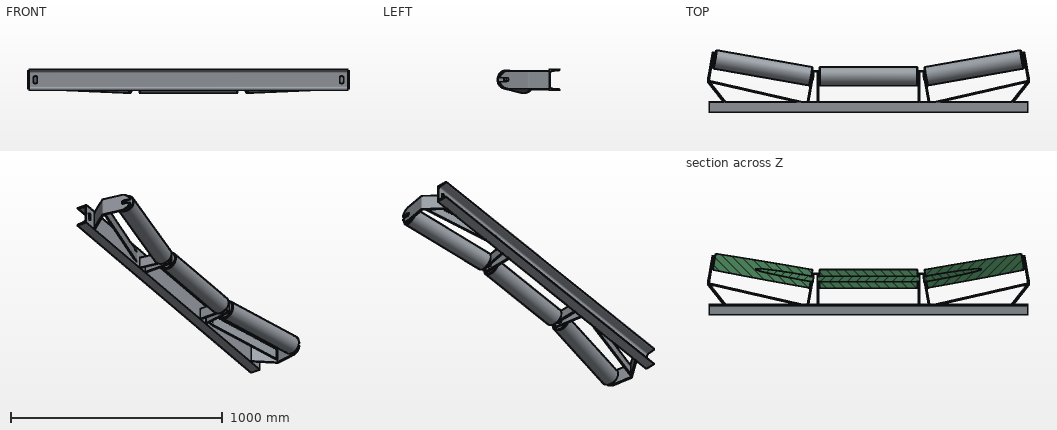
import cadquery as cq
import math

CHANNEL_LENGTH = 1505.0
CHANNEL_HEIGHT = 100.0
CHANNEL_DEPTH = 50.0
WEB_THICKNESS = 6.0
FLANGE_THICKNESS = 8.5
FLANGE_SLOPE = 0.08
ROOT_RADIUS = 8.5
TOE_RADIUS = 6.4
MOUNT_SLOT_SPACING = 1445.0
MOUNT_SLOT_WIDTH = 18.0
MOUNT_SLOT_HEIGHT = 36.0

ROLLER_DIAMETER = 90.0
ROLLER_LENGTH = 465.0
ROLLER_CHAMFER = 5.0
SHAFT_DIAMETER = 23.0
SHAFT_FLATS = 18.0
SHAFT_OVERHANG = 10.0
TROUGH_ANGLE = 10.0
TILT_ANGLE = 2.5
INNER_AXIS_Y = 170.0
INNER_AXIS_Z = -19.0
SIDE_INNER_X = 270.0
END_GAP = 3.0

INNER_WIDTH = 56.0
INNER_TIP = 26.0
UPRIGHT_THICKNESS = 8.0
LEANING_THICKNESS = 6.0
CAP_THICKNESS = 5.0

OUTER_WIDTH = 85.0
OUTER_THICKNESS = 8.0
OUTER_TIP = 32.0
OUTER_REACH = 110.0
OUTER_GAP = 6.0
BEND_RADIUS = 12.0
LEG_FOOT_X = 685.0
BRACE_WIDTH = 56.0
BRACE_THICKNESS = 6.0
BRACE_RISE = 6.0
BRACE_FOOT_X = 315.0

trough = math.radians(TROUGH_ANGLE)
AXIS = (math.cos(trough), math.sin(trough))
DOWN = (math.sin(trough), -math.cos(trough))
SIDE_INNER_END = (SIDE_INNER_X, INNER_AXIS_Y)
WEB_BACK = CHANNEL_DEPTH


def along(point, direction, distance):
    return (point[0] + direction[0] * distance, point[1] + direction[1] * distance)


def heading(start, end):
    length = math.dist(start, end)
    return ((end[0] - start[0]) / length, (end[1] - start[1]) / length)


def flat_bar(start, end, thickness, width, mid_z=0.0):
    """Bar from start to end in plan, thickness to the left of that direction, width along Z."""
    forward = heading(start, end)
    left = (-forward[1], forward[0])
    corners = [start, end, along(end, left, thickness), along(start, left, thickness)]
    return (
        cq.Workplane("XY", origin=(0, 0, mid_z - width / 2))
        .polyline(corners).close().extrude(width)
    )


def overrun(start, end, distance):
    """Point a distance past end on the line from start."""
    return along(end, heading(start, end), distance)


def trim_at_web(bracket):
    """Cut the bracket off flush with the back of the channel web."""
    front = cq.Workplane("XY").box(
        2 * CHANNEL_LENGTH, CHANNEL_DEPTH, 2 * CHANNEL_HEIGHT
    ).translate((0, WEB_BACK - CHANNEL_DEPTH / 2, 0))
    return bracket.cut(front)


def make_channel():
    half = CHANNEL_HEIGHT / 2
    taper = FLANGE_SLOPE * CHANNEL_DEPTH / 2
    toe = half - FLANGE_THICKNESS + taper
    root = half - FLANGE_THICKNESS - taper + FLANGE_SLOPE * WEB_THICKNESS
    web_front = WEB_BACK - WEB_THICKNESS
    outline = [
        (WEB_BACK, half), (0, half), (0, toe), (web_front, root),
        (web_front, -root), (0, -toe), (0, -half), (WEB_BACK, -half),
    ]
    channel = (
        cq.Workplane("YZ").workplane(offset=-CHANNEL_LENGTH / 2)
        .polyline(outline).close().extrude(CHANNEL_LENGTH)
    )
    for height, radius in ((root, ROOT_RADIUS), (toe, TOE_RADIUS)):
        y = web_front if height == root else 0
        for z in (height, -height):
            channel = channel.edges(cq.NearestToPointSelector((0, y, z))).fillet(radius)
    slot_x = MOUNT_SLOT_SPACING / 2
    slots = (
        cq.Workplane("XZ", origin=(0, WEB_BACK, 0)).pushPoints([(-slot_x, 0), (slot_x, 0)])
        .slot2D(MOUNT_SLOT_HEIGHT, MOUNT_SLOT_WIDTH, 90).extrude(WEB_THICKNESS)
    )
    return channel.cut(slots)


def make_inner_bracket():
    upright_x = ROLLER_LENGTH / 2 + END_GAP
    tip_y = INNER_AXIS_Y + INNER_TIP
    upright = flat_bar(
        (upright_x, tip_y), (upright_x, WEB_BACK), UPRIGHT_THICKNESS, INNER_WIDTH, INNER_AXIS_Z
    )
    axis_point = along(SIDE_INNER_END, AXIS, -END_GAP)
    lean_tip = along(axis_point, DOWN, -INNER_TIP)
    lean_foot = along(axis_point, DOWN, INNER_AXIS_Y)
    leaning = flat_bar(lean_foot, lean_tip, LEANING_THICKNESS, INNER_WIDTH, INNER_AXIS_Z)
    cap = flat_bar(
        (lean_tip[0], tip_y), (upright_x, tip_y), CAP_THICKNESS, INNER_WIDTH, INNER_AXIS_Z
    )
    return trim_at_web(upright.union(leaning).union(cap))


def make_outer_plate(axis_point):
    """Plate square to a side roller, with a round end and a slot that the shaft drops into."""
    plane = cq.Plane(
        origin=(*axis_point, 0), xDir=(-DOWN[0], -DOWN[1], 0), normal=(*AXIS, 0)
    )
    half = OUTER_WIDTH / 2
    plate = (
        cq.Workplane(plane)
        .moveTo(-OUTER_REACH, -half).lineTo(OUTER_TIP - half, -half)
        .threePointArc((OUTER_TIP, 0), (OUTER_TIP - half, half))
        .lineTo(-OUTER_REACH, half).close().extrude(OUTER_THICKNESS)
    )
    slot = (
        cq.Workplane(plane).center(OUTER_TIP / 2, 0)
        .rect(OUTER_TIP, SHAFT_FLATS).extrude(OUTER_THICKNESS)
    )
    return plate.cut(slot)


def make_outer_bracket():
    axis_point = along(SIDE_INNER_END, AXIS, ROLLER_LENGTH + OUTER_GAP)
    plate = make_outer_plate(axis_point)
    corner = along(along(axis_point, DOWN, OUTER_REACH), AXIS, OUTER_THICKNESS)
    leg_foot = overrun(corner, (LEG_FOOT_X, WEB_BACK), OUTER_THICKNESS)
    strip = plate.union(flat_bar(corner, leg_foot, -OUTER_THICKNESS, OUTER_WIDTH))
    strip = strip.edges(cq.NearestToPointSelector((*corner, 0))).fillet(BEND_RADIUS)
    brace_start = along(along(axis_point, DOWN, OUTER_REACH - BRACE_RISE), AXIS, OUTER_THICKNESS / 2)
    brace_foot = overrun(brace_start, (BRACE_FOOT_X, WEB_BACK), BRACE_THICKNESS)
    brace = flat_bar(brace_start, brace_foot, BRACE_THICKNESS, BRACE_WIDTH)
    return trim_at_web(strip.union(brace))


def rod(diameter, length):
    return cq.Workplane("YZ", origin=(-length / 2, 0, 0)).circle(diameter / 2).extrude(length)


def make_roller():
    roller = rod(ROLLER_DIAMETER, ROLLER_LENGTH).faces("<X or >X").chamfer(ROLLER_CHAMFER)
    return roller.cut(rod(SHAFT_DIAMETER, ROLLER_LENGTH))


def make_shaft():
    """Round inside the roller, with two flats on each end."""
    length = ROLLER_LENGTH + 2 * SHAFT_OVERHANG
    flatted = rod(SHAFT_DIAMETER, length).intersect(
        cq.Workplane("XY").box(length, SHAFT_DIAMETER, SHAFT_FLATS)
    )
    return flatted.union(rod(SHAFT_DIAMETER, ROLLER_LENGTH))


def at_centre(body):
    return body.translate((0, INNER_AXIS_Y, INNER_AXIS_Z))


def at_side(body):
    return (
        body.translate((ROLLER_LENGTH / 2, 0, 0))
        .rotate((0, 0, 0), (0, 1, 0), -TILT_ANGLE)
        .rotate((0, 0, 0), (0, 0, 1), TROUGH_ANGLE)
        .translate((*SIDE_INNER_END, INNER_AXIS_Z))
    )


def all_three(body):
    side = at_side(body)
    return [at_centre(body), side, side.mirror("YZ")]


rollers = all_three(make_roller())
shafts = all_three(make_shaft())

frame = make_channel()
for bracket in (make_inner_bracket(), make_outer_bracket()):
    frame = frame.union(bracket).union(bracket.mirror("YZ"))
for shaft in shafts:
    frame = frame.cut(shaft)

result = cq.Compound.makeCompound([frame.val(), *[b.val() for b in rollers + shafts]])